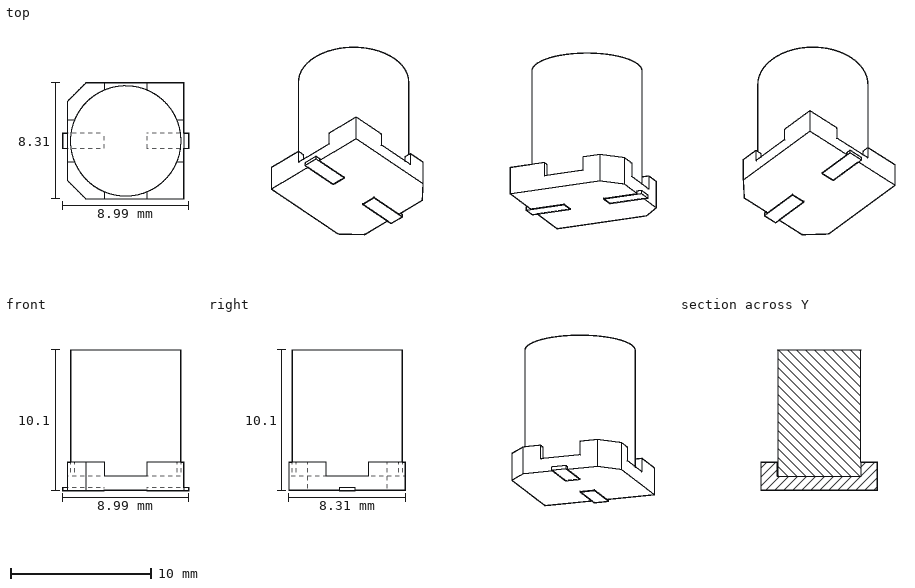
import cadquery as cq

total_height = 10.06
lead_span = 8.99

base_width = 8.31
base_thickness = 1.0
post_height = 1.0
notch_width = 3.0
corner_chamfer = 1.33

can_diameter = 7.88

lead_length = 2.96
lead_width = 1.1
lead_thickness = 0.25
lead_standoff = 0.05

base_bottom = lead_standoff
can_bottom = base_bottom + base_thickness
post_top = can_bottom + post_height
can_height = total_height - can_bottom


def make_lead(side):
    """Flat lead reaching out past the base; side is -1 for -X and 1 for +X."""
    center_x = side * (lead_span - lead_length) / 2
    return (
        cq.Workplane("XY")
        .center(center_x, 0)
        .box(lead_length, lead_width, lead_thickness, centered=(True, True, False))
    )


def make_can():
    """Plain cylinder standing on the base floor between the posts."""
    return cq.Workplane("XY", origin=(0, 0, can_bottom)).circle(can_diameter / 2).extrude(can_height)


def make_notch(length_x, length_y):
    """Slot across the top of the base that separates the posts."""
    return (
        cq.Workplane("XY", origin=(0, 0, can_bottom))
        .box(length_x, length_y, post_height, centered=(True, True, False))
    )


def make_base(can, leads):
    """Base with chamfered corners, notched sides, a seat for the can and recesses for the leads."""
    base = (
        cq.Workplane("XY", origin=(0, 0, base_bottom))
        .box(base_width, base_width, post_top - base_bottom, centered=(True, True, False))
        .edges("|Z and <X")
        .chamfer(corner_chamfer)
        .cut(make_notch(base_width, notch_width))
        .cut(make_notch(notch_width, base_width))
        .cut(can)
    )
    for lead in leads:
        base = base.cut(lead)
    return base


can = make_can()
leads = [make_lead(side) for side in (-1, 1)]
base = make_base(can, leads)

result = cq.Compound.makeCompound([base.val(), can.val(), *[lead.val() for lead in leads]])